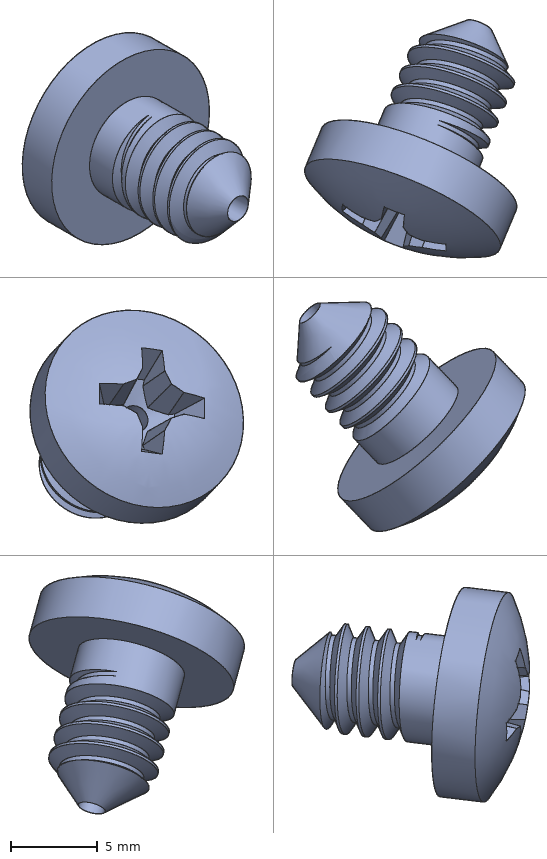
import cadquery as cq
import math


head_radius = 6.1
head_rim_height = 2.56
dome_height = 1.75
head_height = head_rim_height + dome_height
dome_radius = (head_radius**2 + dome_height**2) / (2 * dome_height)

shank_radius = 3.175
shank_length = 9.32
bore_radius = 0.8
point_length = shank_radius - bore_radius

pitch = 25.4 / 20
thread_depth = 0.733
crest_width = pitch / 8
thread_half_angle = math.radians(30)
plain_length = 2.0
flank_slope = math.tan(thread_half_angle)
groove_width = pitch - crest_width
root_half_width = groove_width / 2 - thread_depth * flank_slope
root_radius = shank_radius - thread_depth
groove_clearance = 0.3
full_depth_angle = -45
runout_angle = 128
runout_lead_in = 10

wing_half_length = 3.47
wing_end_slope = math.tan(math.radians(26.5))
wing_half_width = 0.705
wing_side_slope = 0.153
wing_root = 1.85
flare_slope = 0.47
floor_slope = math.tan(math.radians(28))
floor_depth_at_bore = 3.34
recess_cutter_depth = 3.4


def screw_body():
    """Domed head, shank and conical point as one revolved profile."""
    arc_radius = head_radius / 2
    arc_height = head_height - dome_radius + math.sqrt(dome_radius**2 - arc_radius**2)
    return (
        cq.Workplane("XZ")
        .moveTo(0, -head_height)
        .threePointArc((arc_radius, -arc_height), (head_radius, -head_rim_height))
        .lineTo(head_radius, 0)
        .lineTo(shank_radius, 0)
        .lineTo(shank_radius, shank_length - point_length)
        .lineTo(bore_radius, shank_length)
        .lineTo(0, shank_length)
        .close()
        .revolve(360, (0, 0, 0), (0, 1, 0))
    )


def groove_corners():
    """Full-depth groove section as (radius, axial offset from its centre)."""
    top_half_width = groove_width / 2 + groove_clearance * flank_slope
    top_radius = shank_radius + groove_clearance
    return [
        (root_radius, -root_half_width),
        (root_radius, root_half_width),
        (top_radius, top_half_width),
        (top_radius, -top_half_width),
    ]


def helical_cutter(corners, start_z, turn, start_angle, radial_change=0.0):
    """Solid made by moving a section through a turn in degrees along the thread.

    The section drifts evenly outwards by radial_change (inwards if negative) on the way.
    """
    rise = pitch * turn / 360
    taper = math.atan2(radial_change, rise)
    edges = []
    for radius, offset in corners:
        if radial_change:
            slant = 1 / math.cos(taper)
            helix = cq.Wire.makeHelix(pitch * slant, rise * slant, radius, angle=math.degrees(taper))
        else:
            helix = cq.Wire.makeHelix(pitch, rise, radius)
        edges.append(helix.Edges()[0].translate(cq.Vector(0, 0, start_z + offset)))
    faces = []
    for index, edge in enumerate(edges):
        faces.append(cq.Face.makeRuledSurface(edges[index - 1], edge))
    for end in (0, 1):
        points = [edge.positionAt(end) for edge in edges]
        faces.append(cq.Face.makeFromWires(cq.Wire.makePolygon(points, close=True)))
    solid = cq.Solid.makeSolid(cq.Shell.makeShell(faces))
    return solid.rotate(cq.Vector(0, 0, 0), cq.Vector(0, 0, 1), start_angle)


def cut_thread(body):
    """Helical groove with a tapered run-out towards the head."""
    full_depth_z = plain_length + groove_width / 2
    corners = groove_corners()

    lead_turn = runout_angle + runout_lead_in
    lead_rise = thread_depth * lead_turn / runout_angle
    raised = [(radius + lead_rise, offset) for radius, offset in corners]
    lead_z = full_depth_z - pitch * lead_turn / 360
    runout = helical_cutter(raised, lead_z, lead_turn, full_depth_angle - lead_turn, -lead_rise)

    groove_turn = 360 * (shank_length - full_depth_z) / pitch
    groove = helical_cutter(corners, full_depth_z, groove_turn, full_depth_angle)
    return body.cut(cq.Workplane(groove)).cut(cq.Workplane(runout))


def wing_width(depth):
    """Half width of a recess wing at a depth below the dome apex."""
    return wing_half_width - depth * wing_side_slope


def wing_outline(depth):
    """Rectangle across two opposite wings."""
    length = wing_half_length - depth * wing_end_slope
    width = wing_width(depth)
    return [(length, -width), (length, width), (-length, width), (-length, -width)]


def flare_outline(depth):
    """Twelve-sided centre of the recess, where the wings widen into each other."""
    width = wing_width(depth)
    corner = (width + wing_root * flare_slope) / (1 + flare_slope)
    quadrant = [(wing_root, width), (corner, corner), (width, wing_root)]
    points = []
    for turn in range(4):
        cosine = round(math.cos(turn * math.pi / 2))
        sine = round(math.sin(turn * math.pi / 2))
        points += [(x * cosine - y * sine, x * sine + y * cosine) for x, y in quadrant]
    return points


def tapered_cutter(outline):
    """Straight-sided loft of an outline from the dome apex down to the cutter depth."""
    return (
        cq.Workplane("XY", origin=(0, 0, -head_height))
        .polyline(outline(0))
        .close()
        .workplane(offset=recess_cutter_depth)
        .polyline(outline(recess_cutter_depth))
        .close()
        .loft(ruled=True)
    )


def cut_recess(body):
    """Cross recess with a conical floor, opened to the point by the bore."""
    wings = tapered_cutter(wing_outline)
    cross = wings.union(wings.rotate((0, 0, 0), (0, 0, 1), 90)).union(tapered_cutter(flare_outline))

    bore_floor_z = floor_depth_at_bore - head_height
    edge_floor_z = bore_floor_z - (wing_half_length - bore_radius) * floor_slope
    floor_limit = (
        cq.Workplane("XZ")
        .moveTo(0, -head_height)
        .lineTo(wing_half_length, -head_height)
        .lineTo(wing_half_length, edge_floor_z)
        .lineTo(bore_radius, bore_floor_z)
        .lineTo(0, bore_floor_z)
        .close()
        .revolve(360, (0, 0, 0), (0, 1, 0))
    )
    bore = (
        cq.Workplane("XY", origin=(0, 0, -head_height))
        .circle(bore_radius)
        .extrude(head_height + shank_length)
    )
    return body.cut(cross.intersect(floor_limit)).cut(bore)


screw = cut_recess(cut_thread(screw_body()))
result = screw.rotate((0, 0, 0), (0, 1, 0), 90)